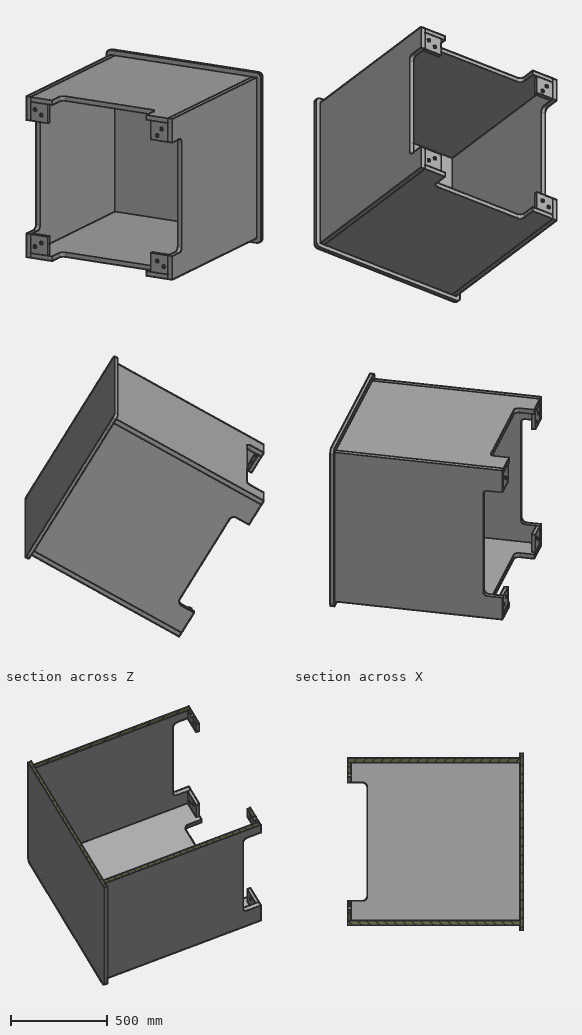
import cadquery as cq


overall_depth = 908.05
board_size = 914.4
board_thickness = 19.05
board_corner_radius = 25.4
board_overhang = 25.4
panel_thickness = 25.4
notch_depth = 101.6
notch_radius = 25.4
block_size = 101.6
block_thickness = 19.05
hole_diameter = 16.67

regular_holes = [(25.4, 38.1), (63.5, 63.5)]
turned_holes = [(38.1, 38.1), (63.5, 76.2)]

box_size = board_size - 2 * board_overhang
inner_size = box_size - 2 * panel_thickness
panel_length = overall_depth - board_thickness
leg_width = panel_thickness + block_size
panel_offset = (box_size - panel_thickness) / 2
block_offset = (inner_size - block_size) / 2


def make_board():
    """Closing board with rounded corners that overhangs the box all round."""
    board = cq.Workplane("XY").box(board_size, board_thickness, board_size)
    board = board.edges("|Y").fillet(board_corner_radius)
    return board.translate((0, overall_depth - board_thickness / 2, 0))


def make_panel(width):
    """Panel lying in XY, centred on X, with a notch between two legs at its Y = 0 end."""
    notch_width = width - 2 * leg_width
    panel = cq.Workplane("XY").box(width, panel_length, panel_thickness)
    panel = panel.translate((0, panel_length / 2, 0))
    notch = cq.Workplane("XY").box(notch_width, 2 * notch_depth, panel_thickness)
    notch = notch.edges("|Z").fillet(notch_radius)
    return panel.cut(notch)


def make_side_panel(side):
    """Full-height panel at the -X or +X side."""
    panel = make_panel(box_size)
    panel = panel.rotate((0, 0, 0), (0, 1, 0), 90)
    return panel.translate((side * panel_offset, 0, 0))


def make_cross_panel(side):
    """Panel at the -Z or +Z side, fitted between the side panels."""
    panel = make_panel(inner_size)
    return panel.translate((0, 0, side * panel_offset))


def make_foot_block(x_side, z_side):
    """Drilled block in an inner corner of the box, flush with the leg ends."""
    center_x = x_side * block_offset
    center_z = z_side * block_offset
    block = cq.Workplane("XY").box(block_size, block_thickness, block_size)
    block = block.translate((center_x, block_thickness / 2, center_z))
    is_turned = x_side > 0 and z_side > 0
    holes = turned_holes if is_turned else regular_holes
    for from_side_panel, from_cross_panel in holes:
        hole_x = x_side * (inner_size / 2 - from_side_panel)
        hole_z = z_side * (inner_size / 2 - from_cross_panel)
        drill = cq.Workplane("XZ", origin=(hole_x, 0, hole_z)).circle(hole_diameter / 2)
        block = block.cut(drill.extrude(-block_thickness))
    return block


board = make_board()
side_panels = [make_side_panel(side) for side in (-1, 1)]
cross_panels = [make_cross_panel(side) for side in (-1, 1)]
foot_blocks = [make_foot_block(x_side, z_side) for x_side in (-1, 1) for z_side in (-1, 1)]

bodies = [board, *side_panels, *cross_panels, *foot_blocks]
result = cq.Compound.makeCompound([body.val() for body in bodies])